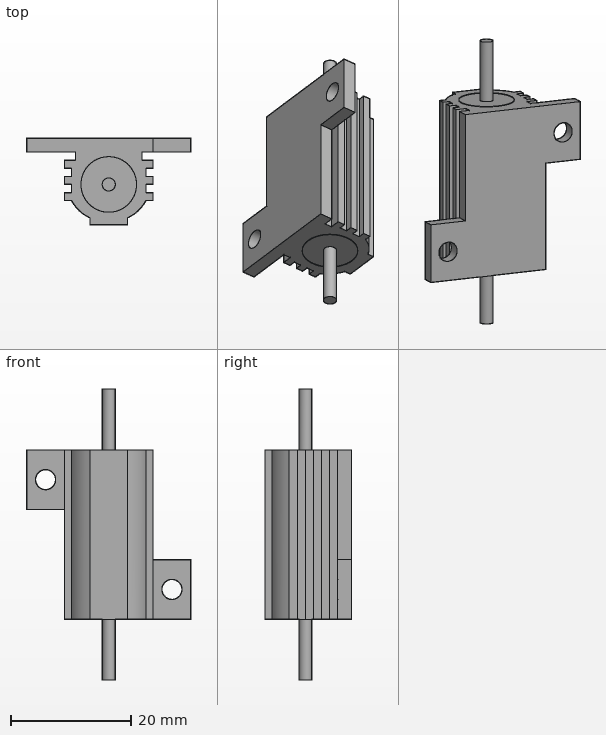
import cadquery as cq

lead_length = 48.4
lead_diameter = 2.2
body_length = 28.15
cap_diameter = 9.25
cap_recess = 0.1

plate_width = 27.3
plate_back = 7.7
plate_thickness = 2.3
lug_height = 9.9
lug_hole_diameter = 3.3

fin_width = 14.7
groove_width = 12.4
neck_width = 11.15
belly_radius = 6.65
pad_width = 6.3
pad_shoulder = -5.55
pad_front = -6.75

plate_front = plate_back - plate_thickness
fin_thickness = plate_front / 4
fin_count = 3
lug_width = (plate_width - fin_width) / 2
lug_center_x = (plate_width - lug_width) / 2
lug_center_z = (body_length - lug_height) / 2


def block(width, front, back, height=body_length, center_x=0, center_z=0):
    """Box spanning front to back along Y, centred at the given X and Z."""
    center = (center_x, (front + back) / 2, center_z)
    return cq.Workplane("XY").box(width, back - front, height).translate(center)


def rod(diameter, length):
    """Cylinder on the lead axis, centred on the origin."""
    return cq.Workplane("XY").circle(diameter / 2).extrude(length / 2, both=True)


def make_belly(fins_front):
    """Front of the housing: two rounded flanks running from the fins to a flat pad."""
    groove_x = groove_width / 2
    pad_x = pad_width / 2
    return (
        cq.Workplane("XY", origin=(0, 0, -body_length / 2))
        .moveTo(-groove_x, fins_front)
        .radiusArc((-pad_x, pad_shoulder), -belly_radius)
        .lineTo(-pad_x, pad_front)
        .lineTo(pad_x, pad_front)
        .lineTo(pad_x, pad_shoulder)
        .radiusArc((groove_x, fins_front), -belly_radius)
        .close()
        .extrude(body_length)
    )


def make_body():
    """Finned housing with a rounded belly and a back plate."""
    fins_front = -2 * fin_thickness
    fins_back = fins_front + (2 * fin_count - 1) * fin_thickness
    body = make_belly(fins_front)
    body = body.union(block(groove_width, fins_front, fins_back))
    body = body.union(block(neck_width, fins_back, plate_front))
    body = body.union(block(fin_width, plate_front, plate_back))
    for index in range(fin_count):
        front = fins_front + 2 * index * fin_thickness
        body = body.union(block(fin_width, front, front + fin_thickness))
    return body


def make_cap_recesses():
    """Shallow discs that set the round end caps below both body ends."""
    core = rod(cap_diameter, body_length - 2 * cap_recess)
    return rod(cap_diameter, body_length).cut(core)


def make_lug(side):
    """Drilled lug: side -1 is the upper left one, +1 the lower right one."""
    x = side * lug_center_x
    z = -side * lug_center_z
    lug = block(lug_width, plate_front, plate_back, lug_height, x, z)
    hole = (
        cq.Workplane("XZ", origin=(x, plate_back, z))
        .circle(lug_hole_diameter / 2)
        .extrude(plate_thickness)
    )
    return lug.cut(hole)


result = make_body().cut(make_cap_recesses())
for side in (-1, 1):
    result = result.union(make_lug(side))
result = result.union(rod(lead_diameter, lead_length))